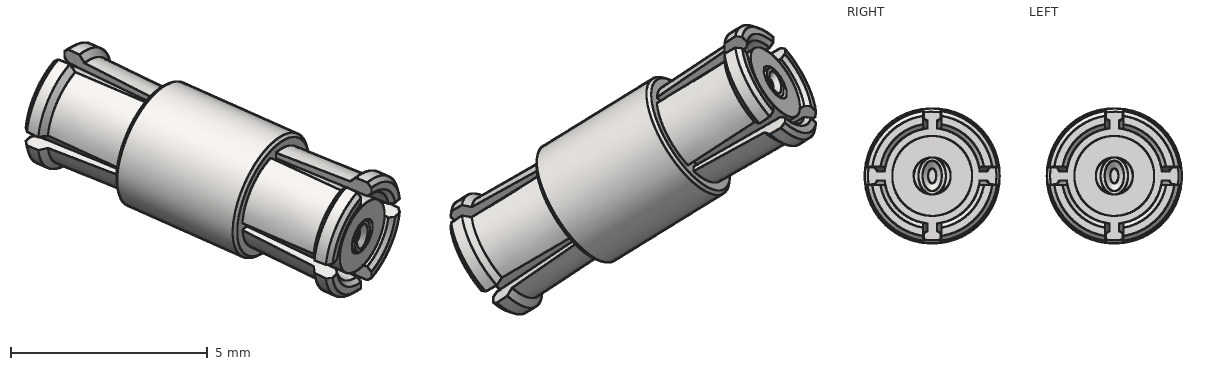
import cadquery as cq


LENGTH = 9.4
HALF_LENGTH = LENGTH / 2
BARREL_DIAMETER = 3.43
BARREL_RADIUS = BARREL_DIAMETER / 2
BARREL_HALF_LENGTH = 1.85
BARREL_CHAMFER = 0.08

FINGER_ROOT_RADIUS = 1.4
FINGER_NECK_RADIUS = 1.47
RIM_RADIUS = 1.66
RIM_TIP_CHAMFER = 0.12
RIM_BACK_EDGE = 0.47
RIM_CONE_END = 0.63

CAVITY_RADIUS = 1.21
CAVITY_MOUTH_CHAMFER = 0.12

SLOT_ROOT_WIDTH = 0.235
SLOT_TIP_WIDTH = 0.47
SLOT_ANGLES = (0, 90)

INSULATOR_RADIUS = 1.015
INSULATOR_RECESS = 0.12
INSULATOR_HALF_LENGTH = HALF_LENGTH - INSULATOR_RECESS

CONTACT_RADIUS = 0.47
CONTACT_END_Y = 0.35
CONTACT_END_LENGTH = 0.94
SOCKET_MOUTH_Y = 0.24
SOCKET_MOUTH_Z = 0.39
SOCKET_THROAT_Y = 0.1
SOCKET_THROAT_Z = 0.19
SOCKET_LEAD_IN = 0.14
SOCKET_DEPTH = 1.13


def rod(radius, half_length):
    """Cylinder along X, centred on the origin."""
    return cq.Workplane("YZ", origin=(-half_length, 0, 0)).circle(radius).extrude(2 * half_length)


def at_both_ends(end):
    """A shape for the +X end together with its mirror image for the -X end."""
    return [end, end.mirror("YZ")]


def finger_ring():
    """Unslotted ring of the fingers at the +X end, turned about X."""
    outline = [
        (BARREL_HALF_LENGTH, CAVITY_RADIUS),
        (BARREL_HALF_LENGTH, FINGER_ROOT_RADIUS),
        (HALF_LENGTH - RIM_CONE_END, FINGER_NECK_RADIUS),
        (HALF_LENGTH - RIM_BACK_EDGE, RIM_RADIUS),
        (HALF_LENGTH - RIM_TIP_CHAMFER, RIM_RADIUS),
        (HALF_LENGTH, RIM_RADIUS - RIM_TIP_CHAMFER),
        (HALF_LENGTH, CAVITY_RADIUS + CAVITY_MOUTH_CHAMFER),
        (HALF_LENGTH - CAVITY_MOUTH_CHAMFER, CAVITY_RADIUS),
    ]
    return cq.Workplane("XY").polyline(outline).close().revolve(360, (0, 0, 0), (1, 0, 0))


def slot_cutter():
    """Wedge across the +X fingers that widens from their roots to their tips."""
    outline = [
        (BARREL_HALF_LENGTH, -SLOT_ROOT_WIDTH / 2),
        (HALF_LENGTH, -SLOT_TIP_WIDTH / 2),
        (HALF_LENGTH, SLOT_TIP_WIDTH / 2),
        (BARREL_HALF_LENGTH, SLOT_ROOT_WIDTH / 2),
    ]
    return cq.Workplane("XY").polyline(outline).close().extrude(BARREL_RADIUS, both=True)


def make_shell():
    fingers = finger_ring()
    for angle in SLOT_ANGLES:
        fingers = fingers.cut(slot_cutter().rotate((0, 0, 0), (1, 0, 0), angle))

    shell = rod(BARREL_RADIUS, BARREL_HALF_LENGTH).edges().chamfer(BARREL_CHAMFER)
    for end in at_both_ends(fingers):
        shell = shell.union(end)
    return shell.cut(rod(INSULATOR_RADIUS, HALF_LENGTH))


def make_insulator():
    return rod(INSULATOR_RADIUS, INSULATOR_HALF_LENGTH).cut(rod(CONTACT_RADIUS, HALF_LENGTH))


def elliptic_loft(start_x, start_axes, end_x, end_axes):
    """Solid along X between two ellipses, each given by its semi-axes along Y and Z."""
    return (
        cq.Workplane("YZ", origin=(start_x, 0, 0))
        .ellipse(*start_axes)
        .workplane(offset=end_x - start_x)
        .ellipse(*end_axes)
        .loft(ruled=True)
    )


def make_contact():
    end_x = INSULATOR_HALF_LENGTH
    shoulder_x = end_x - CONTACT_END_LENGTH
    throat_x = end_x - SOCKET_LEAD_IN
    throat = (SOCKET_THROAT_Y, SOCKET_THROAT_Z)
    contact_end = (CONTACT_END_Y, CONTACT_RADIUS)

    elliptic_end = elliptic_loft(shoulder_x, contact_end, end_x, contact_end)
    lead_in = elliptic_loft(throat_x, throat, end_x, (SOCKET_MOUTH_Y, SOCKET_MOUTH_Z))
    bore = elliptic_loft(end_x - SOCKET_DEPTH, throat, throat_x, throat)

    contact = rod(CONTACT_RADIUS, shoulder_x)
    for end in at_both_ends(elliptic_end):
        contact = contact.union(end)
    for socket in at_both_ends(lead_in.union(bore)):
        contact = contact.cut(socket)
    return contact


shell = make_shell()
insulator = make_insulator()
contact = make_contact()

result = cq.Compound.makeCompound([shell.val(), insulator.val(), contact.val()])